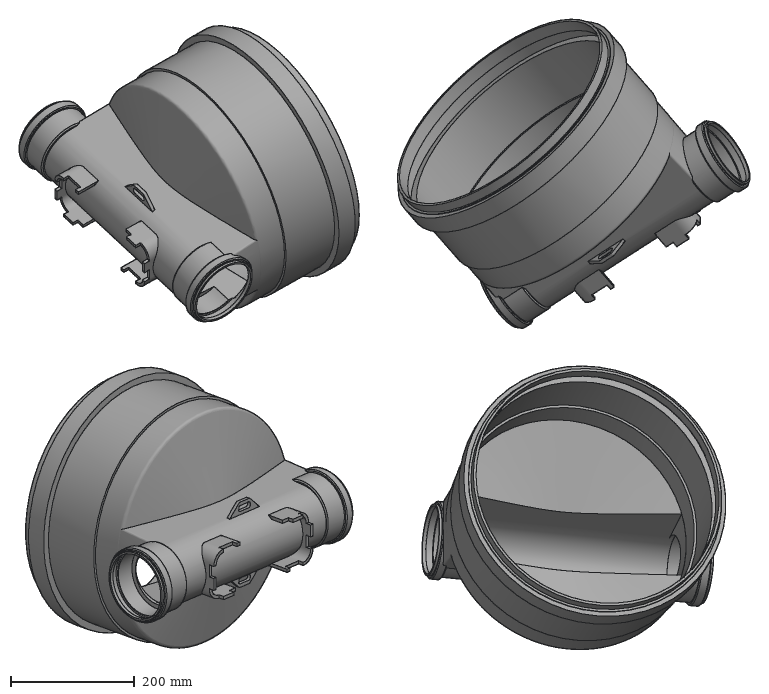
import cadquery as cq
import math


mouth_y = 281.5
rim_d = 413.0
flange_d = 436.0
flange_step_d = 421.0
flange_step_y = 265.7
flange_top_y = 264.5
flange_bottom_y = 231.0
barrel_bottom_y = 132.0
lower_d = 404.5
floor_edge_y = 80.5
floor_slope = 0.23
floor_fillet = 5.5
drum_bore_d = 404.0
seal_groove_d = 427.0
wall = 4.5

channel_d = 106.5
channel_end_d = 404.0
channel_bore_d = 95.0
channel_draft = math.radians(4)
channel_roof_y = floor_edge_y + floor_fillet
channel_corner_fillet = 3.5

socket_d = 117.0
socket_bore_d = 110.5
bead_d = 126.5
bead_groove_d = 120.2
bead_chamfer = 2.0
barrel_end_chamfer = 2.5
lip_length = 4.0
inlet_mouth_x = -250.0
inlet_end_x = -189.5
inlet_shoulder_x = -199.0
inlet_bead_length = 16.5
outlet_mouth_x = 207.3
outlet_end_x = 146.5
outlet_shoulder_x = 151.0
outlet_bead_length = 16.0
outlet_axis_y = 3.7

ear_front_y = -8.5
ear_thickness = 6.0
ear_top_z = 75.0
ear_top_half_width = 12.0
ear_base_z = 49.0
ear_base_half_width = 39.5
ear_corner_fillet = 4.5
ear_slot_length = 27.0
ear_slot_height = 10.5
ear_slot_z = 63.5
ear_slot_fillet = 3.7

feet_center_x = -22.5
feet_length = 236.0
feet_width = 89.0
feet_corner_radius = 23.5
feet_thickness = 5.5
foot_leg_length = 61.8
feet_bottom_y = -70.5
foot_notch_depth = 10.0
foot_upper_tab = 7.0
foot_lower_tab = 14.0


def cylinder_x(diameter, x_start, x_end, axis_y=0.0):
    """Cylinder along X between two stations."""
    plane = cq.Workplane("YZ", origin=(x_start, axis_y, 0))
    return plane.circle(diameter / 2).extrude(x_end - x_start)


def box_between(x_range, y_range, z_range):
    """Box given by its extent along each axis."""
    corner = (x_range[0], y_range[0], z_range[0])
    size = (x_range[1] - x_range[0], y_range[1] - y_range[0], z_range[1] - z_range[0])
    return cq.Workplane("XY").box(*size, centered=False).translate(corner)


def revolve_drum(profile):
    """Turn an (r, y) profile about the drum axis."""
    return cq.Workplane("XY").polyline(profile).close().revolve(360, (0, 0, 0), (0, 1, 0))


def drum_outside():
    """Stepped drum with a flange near its mouth and a conical floor."""
    rim_r = rim_d / 2
    flange_r = flange_d / 2
    step_r = flange_step_d / 2
    lower_r = lower_d / 2
    apex_y = floor_edge_y - floor_slope * lower_r
    drum = revolve_drum([
        (0, mouth_y),
        (rim_r, mouth_y),
        (rim_r, flange_step_y),
        (step_r, flange_step_y),
        (step_r, flange_top_y),
        (flange_r, flange_top_y),
        (flange_r, flange_bottom_y),
        (rim_r, flange_bottom_y),
        (rim_r, barrel_bottom_y),
        (lower_r, barrel_bottom_y),
        (lower_r, floor_edge_y),
        (0, apex_y),
    ])
    floor_rim = cq.selectors.BoxSelector(
        (-lower_r - 4.5, floor_edge_y - 0.5, -lower_r - 4.5),
        (lower_r + 4.5, floor_edge_y + 0.5, lower_r + 4.5),
        boundingbox=True,
    )
    return drum.edges(floor_rim).fillet(floor_fillet)


def drum_inside():
    """Drum cavity, with a seal groove inside the flange."""
    bore_r = drum_bore_d / 2
    groove_r = seal_groove_d / 2
    lower_r = lower_d / 2 - wall
    apex_y = floor_edge_y + wall - floor_slope * lower_d / 2
    return revolve_drum([
        (0, mouth_y),
        (bore_r, mouth_y),
        (bore_r, flange_top_y - wall),
        (groove_r, flange_top_y - wall),
        (groove_r, flange_bottom_y + wall),
        (bore_r, flange_bottom_y + wall),
        (bore_r, barrel_bottom_y + wall),
        (lower_r, barrel_bottom_y + wall),
        (lower_r, apex_y + floor_slope * lower_r),
        (0, apex_y),
    ])


def channel_block(pipe_d, end_d):
    """Drafted walls rising tangent from the pipe, with ends rounded about the drum axis."""
    tangent_z = pipe_d / 2 * math.cos(channel_draft)
    tangent_y = -pipe_d / 2 * math.sin(channel_draft)
    roof_z = tangent_z + (channel_roof_y - tangent_y) * math.tan(channel_draft)
    walls = (
        cq.Workplane("YZ", origin=(-end_d / 2, 0, 0))
        .polyline([
            (tangent_y, -tangent_z),
            (channel_roof_y, -roof_z),
            (channel_roof_y, roof_z),
            (tangent_y, tangent_z),
        ])
        .close()
        .extrude(end_d)
    )
    ends = (
        cq.Workplane("XZ", origin=(0, tangent_y, 0))
        .circle(end_d / 2)
        .extrude(tangent_y - channel_roof_y)
    )
    return walls.intersect(ends)


def socket_outside(mouth_x, end_x, bead_length, axis_y):
    """Socket barrel with a raised bead just behind its mouth lip."""
    inward = math.copysign(1, end_x - mouth_x)
    bead_start = mouth_x + inward * lip_length
    bead = cylinder_x(bead_d, bead_start, bead_start + inward * bead_length, axis_y)
    barrel = cylinder_x(socket_d, mouth_x, end_x, axis_y)
    inner_end = cq.selectors.NearestToPointSelector((end_x, axis_y, 0))
    barrel = barrel.edges(inner_end).chamfer(barrel_end_chamfer)
    return barrel.union(bead.edges().chamfer(bead_chamfer))


def socket_inside(mouth_x, shoulder_x, bead_length, axis_y):
    """Socket bore with a seal groove inside the bead."""
    inward = math.copysign(1, shoulder_x - mouth_x)
    groove_start = mouth_x + inward * (lip_length + bead_chamfer)
    groove_length = bead_length - 2 * bead_chamfer
    groove = cylinder_x(bead_groove_d, groove_start, groove_start + inward * groove_length, axis_y)
    return cylinder_x(socket_bore_d, mouth_x, shoulder_x, axis_y).union(groove)


def ear():
    """Trapezoid plate on the +Z side of the channel, with a rounded slot."""
    plate = (
        cq.Workplane("XZ", origin=(0, ear_front_y, 0))
        .polyline([
            (-ear_base_half_width, ear_base_z),
            (-ear_top_half_width, ear_top_z),
            (ear_top_half_width, ear_top_z),
            (ear_base_half_width, ear_base_z),
        ])
        .close()
        .extrude(-ear_thickness)
    )
    plate = plate.edges("|Y and >Z").fillet(ear_corner_fillet)
    slot = (
        cq.Workplane("XZ", origin=(0, ear_front_y, 0))
        .center(0, ear_slot_z)
        .rect(ear_slot_length, ear_slot_height)
        .extrude(-ear_thickness)
        .edges("|Y")
        .fillet(ear_slot_fillet)
    )
    return plate.cut(slot)


def inlet_foot():
    """U-shaped plate at the inlet end, with interlocking notches in its free edge."""
    outer_x = feet_center_x - feet_length / 2
    tip_x = outer_x + foot_leg_length
    corner_x = outer_x + feet_corner_radius
    half_width = feet_width / 2
    leg_inner_z = half_width - feet_thickness
    corner_z = half_width - feet_corner_radius
    plate_inner_x = outer_x + feet_thickness

    blank = cq.Workplane("XZ", origin=(feet_center_x, feet_bottom_y, 0))
    outer = blank.rect(feet_length, feet_width).extrude(feet_bottom_y)
    inner = (
        blank.rect(feet_length - 2 * feet_thickness, feet_width - 2 * feet_thickness)
        .extrude(feet_bottom_y)
    )
    ring = outer.edges("|Y").fillet(feet_corner_radius)
    ring = ring.cut(inner.edges("|Y").fillet(feet_corner_radius - feet_thickness))
    foot = ring.intersect(
        box_between((outer_x, tip_x), (feet_bottom_y, 0), (-half_width, half_width))
    )

    notches = [
        ((corner_x, tip_x - foot_upper_tab), (leg_inner_z, half_width)),
        ((outer_x, plate_inner_x), (0, corner_z)),
        ((outer_x, corner_x), (-half_width, -corner_z)),
        ((tip_x - foot_lower_tab, tip_x), (-half_width, -leg_inner_z)),
    ]
    notch_y = (feet_bottom_y, feet_bottom_y + foot_notch_depth)
    for x_range, z_range in notches:
        foot = foot.cut(box_between(x_range, notch_y, z_range))
    return foot


channel = channel_block(channel_d, channel_end_d)
channel = channel.edges("%ELLIPSE").fillet(channel_corner_fillet)
result = drum_outside().union(channel)
result = result.union(cylinder_x(channel_d, inlet_end_x, outlet_end_x))
result = result.union(socket_outside(inlet_mouth_x, inlet_end_x, inlet_bead_length, 0))
result = result.union(socket_outside(outlet_mouth_x, outlet_end_x, outlet_bead_length, outlet_axis_y))
upper_ear = ear()
result = result.union(upper_ear).union(upper_ear.mirror("XY"))
foot = inlet_foot()
turned_foot = foot.rotate((feet_center_x, 0, 0), (feet_center_x, 1, 0), 180)
result = result.union(foot).union(turned_foot)

result = result.cut(drum_inside())
result = result.cut(channel_block(channel_bore_d, channel_end_d - 2 * wall))
result = result.cut(cylinder_x(channel_bore_d, inlet_shoulder_x, outlet_shoulder_x))
result = result.cut(socket_inside(inlet_mouth_x, inlet_shoulder_x, inlet_bead_length, 0))
result = result.cut(socket_inside(outlet_mouth_x, outlet_shoulder_x, outlet_bead_length, outlet_axis_y))